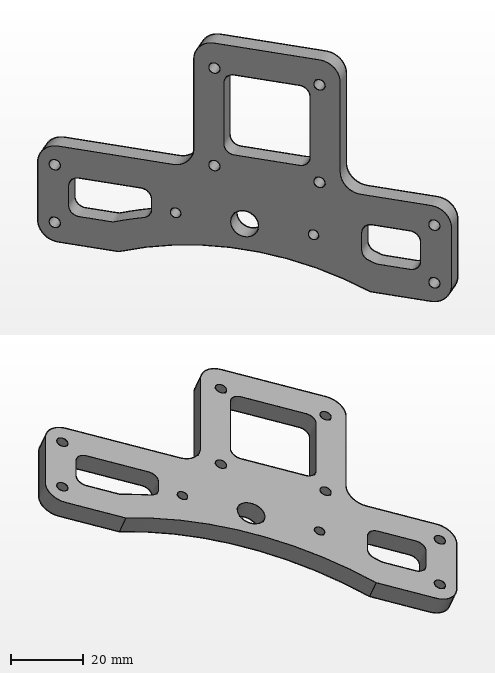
import cadquery as cq

length = 120.0
height = 70.0
thickness = 5.5
base_height = 30.0
corner_radius = 6.0

tower_x = 6.5
tower_width = 42.5
window_size = 25.0
window_z = 48.5
window_radius = 3.0
tower_hole_pitch = 30.5
tower_hole_z = 46.9

arch_half_width = 36.5
arch_rise = 7.0
arch_radius = (arch_half_width**2 + arch_rise**2) / (2 * arch_rise)
arch_center_z = arch_rise - arch_radius

wall = 9.0
left_pocket_length = 24.0
right_pocket_length = 17.0
pocket_radius = 3.0

mount_hole_diameter = 3.2
base_hole_pitch_x = 110.0
base_hole_pitch_z = 18.0
pin_hole_diameter = 3.0
pin_hole_pitch = 40.0
center_hole_diameter = 8.0
base_mid_z = base_height / 2


def block(x_min, x_max, z_min, z_max):
    """Rectangular prism through the plate thickness, centred on Y = 0."""
    return (
        cq.Workplane("XY")
        .box(x_max - x_min, thickness, z_max - z_min)
        .translate(((x_min + x_max) / 2, 0, (z_min + z_max) / 2))
    )


def disc(x, z, radius):
    """Cylinder through the plate thickness."""
    return (
        cq.Workplane("XZ")
        .center(x, z)
        .circle(radius)
        .extrude(thickness / 2, both=True)
    )


def pocket(x_min, x_max):
    """Rounded base pocket whose lower side follows the arch."""
    cutter = block(x_min, x_max, wall, base_height - wall)
    cutter = cutter.cut(disc(0, arch_center_z, arch_radius + wall))
    return cutter.edges("|Y").fillet(pocket_radius)


def drill(body, centers, diameter):
    for x, z in centers:
        body = body.cut(disc(x, z, diameter / 2))
    return body


def hole_grid(x, z, pitch_x, pitch_z):
    """Four centres on a rectangle around (x, z)."""
    return [
        (x + side_x * pitch_x / 2, z + side_z * pitch_z / 2)
        for side_x in (-1, 1)
        for side_z in (-1, 1)
    ]


base = block(-length / 2, length / 2, 0, base_height)
tower = block(tower_x - tower_width / 2, tower_x + tower_width / 2, 0, height)
plate = base.union(tower).edges("|Y").fillet(corner_radius)
plate = plate.cut(disc(0, arch_center_z, arch_radius))

window_half = window_size / 2
window = block(
    tower_x - window_half,
    tower_x + window_half,
    window_z - window_half,
    window_z + window_half,
).edges("|Y").fillet(window_radius)
plate = plate.cut(window)

pocket_end_x = length / 2 - wall
plate = plate.cut(pocket(-pocket_end_x, -pocket_end_x + left_pocket_length))
plate = plate.cut(pocket(pocket_end_x - right_pocket_length, pocket_end_x))

tower_holes = hole_grid(tower_x, tower_hole_z, tower_hole_pitch, tower_hole_pitch)
base_holes = hole_grid(0, base_mid_z, base_hole_pitch_x, base_hole_pitch_z)
plate = drill(plate, tower_holes + base_holes, mount_hole_diameter)
pin_holes = [(-pin_hole_pitch / 2, base_mid_z), (pin_hole_pitch / 2, base_mid_z)]
plate = drill(plate, pin_holes, pin_hole_diameter)
plate = drill(plate, [(0, base_mid_z)], center_hole_diameter)

result = plate